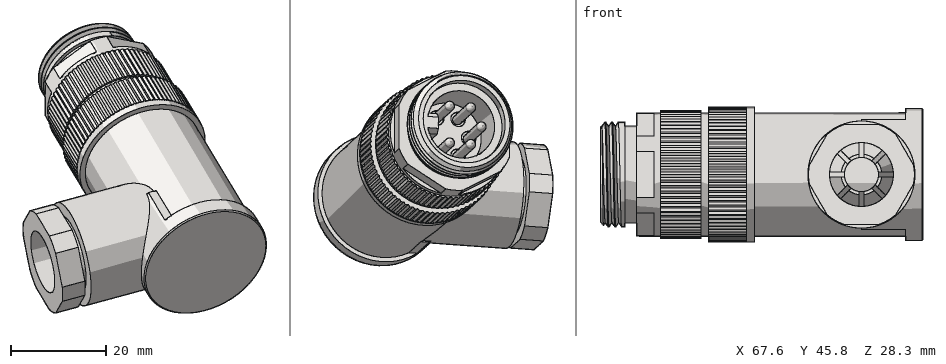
import cadquery as cq
import math


total_length = 67.6
total_width = 45.75
rear_knurl_diameter = 28.3
rear_knurl_radius = rear_knurl_diameter / 2

thread_end = 5.15
collar_start = 7.6
flats_end = 11.2
front_knurl_start = 12.6
front_knurl_end = 21.1
rear_knurl_start = 22.65
rear_knurl_end = 30.55
coupling_end = 32.3
cap_start = 63.95

thread_diameter = 22.0
thread_radius = thread_diameter / 2
tip_radius = 9.95
tip_chamfer_length = 0.95
neck_radius = 10.2
thread_pitch = 1.4
thread_depth = 0.9
groove_clearance = 0.15
groove_gap = 0.03
groove_width = thread_pitch - groove_gap
groove_lead_in = 1.0
thread_runout = 4.45
runout_angle = 22.0

barrel_diameter = 25.9
barrel_radius = barrel_diameter / 2
flat_distance = 12.0
front_knurl_diameter = 26.85
front_knurl_radius = front_knurl_diameter / 2
front_knurl_teeth = 72
rear_knurl_teeth = 80
knurl_depth = 0.305

mouth_radius = 8.9
mouth_depth = 2.4
socket_radius = 7.3
socket_depth = 12.85
key_width = 4.45
key_inner_offset = 4.95
key_chamfer = 1.0
pin_tip = 2.1
pin_radius = 1.0
pin_nose_fillet = 0.95 * pin_radius
pin_recess_radius = 1.55
pin_recess_depth = 0.7
pin_circle_radius = 4.6
pin_angles = [60, 120, 180, 240, 300]
pin_positions = [
    (pin_circle_radius * math.cos(math.radians(angle)), pin_circle_radius * math.sin(math.radians(angle)))
    for angle in pin_angles
]

cap_radius = 13.85
cap_chamfer = 0.3
arm_x = 54.7
arm_radius = 11.2
arm_end = 25.2
ledge_height = 11.5

gland_neck_radius = 8.45
nut_start = 26.5
nut_end = total_width - rear_knurl_radius
nut_width_across_flats = 20.9
nut_flat_distance = nut_width_across_flats / 2
nut_corner_radius = 11.1
bore_radius = 6.7

clamp_tip = 20.3
clamp_tip_radius = 4.25
clamp_cone_length = 3.6
clamp_base = clamp_tip - clamp_cone_length
clamp_hole_radius = 3.6
clamp_slot_count = 8
clamp_slot_width = 1.0
clamp_slot_depth = 0.95


def disc(start, end, radius):
    """Cylinder on the connector axis between two X stations."""
    return cq.Workplane("YZ", origin=(start, 0, 0)).circle(radius).extrude(end - start)


def arm_disc(start, end, radius):
    """Cylinder on the arm axis between two distances from the connector axis."""
    return cq.Workplane("XZ", origin=(arm_x, -start, 0)).circle(radius).extrude(end - start)


def knurl(start, end, radius, teeth):
    """Band with sharp V teeth parallel to the connector axis."""
    points = []
    for i in range(2 * teeth):
        angle = math.pi * i / teeth
        r = radius if i % 2 == 0 else radius - knurl_depth
        points.append((r * math.cos(angle), r * math.sin(angle)))
    return cq.Workplane("YZ", origin=(start, 0, 0)).polyline(points).close().extrude(end - start)


def hexagon(plane, origin, flat_distance, length):
    """Hexagonal prism with a pair of corners on the local X axis."""
    corner_diameter = 2 * flat_distance / math.cos(math.pi / 6)
    return cq.Workplane(plane, origin=origin).polygon(6, corner_diameter).extrude(length)


def thread_groove():
    """Right-handed V groove that enters at the tip and ends at the runout angle."""
    length = thread_runout + groove_lead_in
    root_radius = thread_radius - thread_depth
    outer_radius = thread_radius + groove_clearance
    helix = cq.Wire.makeHelix(thread_pitch, length, root_radius)
    profile = cq.Workplane("XZ").polyline([
        (root_radius, 0),
        (outer_radius, groove_width / 2),
        (outer_radius, -groove_width / 2),
    ]).close()
    groove = profile.sweep(cq.Workplane(obj=helix), isFrenet=True)
    end_angle = 360 * length / thread_pitch
    groove = groove.rotate((0, 0, 0), (0, 0, 1), -end_angle)
    groove = groove.rotate((0, 0, 0), (0, 1, 0), 90)
    groove = groove.rotate((0, 0, 0), (1, 0, 0), 180 - runout_angle)
    return groove.translate((-groove_lead_in, 0, 0))


def threaded_nose():
    profile = [
        (0, 0),
        (0, tip_radius),
        (tip_chamfer_length, thread_radius),
        (thread_end, thread_radius),
        (thread_end, neck_radius),
        (collar_start, neck_radius),
        (collar_start, 0),
    ]
    nose = cq.Workplane("XY").polyline(profile).close().revolve(360, (0, 0, 0), (1, 0, 0))
    return nose.cut(thread_groove())


def hex_collar():
    flats_length = flats_end - collar_start
    flats = hexagon("YZ", (collar_start, 0, 0), flat_distance, flats_length)
    flats = flats.rotate((0, 0, 0), (1, 0, 0), 360 / 12)
    return disc(collar_start, flats_end, barrel_radius).intersect(flats)


def key():
    """Chamfered rib on the +Y side of the socket wall, flush with the mouth floor."""
    reach = (mouth_radius + socket_radius) / 2 - key_inner_offset
    length = socket_depth - mouth_depth
    rib = cq.Workplane("XY").box(length, reach, key_width, centered=(False, False, True))
    rib = rib.translate((mouth_depth, key_inner_offset, 0))
    return rib.faces("<X").edges("|Y").chamfer(key_chamfer)


def contact_pins():
    """Round-nosed pins that stand in the recesses of the socket floor."""
    length = socket_depth + pin_recess_depth - pin_tip
    pins = cq.Workplane("YZ", origin=(pin_tip, 0, 0)).pushPoints(pin_positions)
    pins = pins.circle(pin_radius).extrude(length)
    return pins.faces("<X").edges().fillet(pin_nose_fillet)


def pin_recesses():
    floor = cq.Workplane("YZ", origin=(socket_depth, 0, 0)).pushPoints(pin_positions)
    return floor.circle(pin_recess_radius).extrude(pin_recess_depth)


def make_coupling():
    """Plug half: threaded nose, hex collar, knurled grips, socket, key and pins."""
    body = threaded_nose().union(hex_collar())
    body = body.union(disc(flats_end, rear_knurl_start, barrel_radius))
    body = body.union(knurl(front_knurl_start, front_knurl_end, front_knurl_radius, front_knurl_teeth))
    body = body.union(knurl(rear_knurl_start, rear_knurl_end, rear_knurl_radius, rear_knurl_teeth))
    body = body.union(disc(rear_knurl_end, coupling_end, rear_knurl_radius))
    body = body.cut(disc(0, mouth_depth, mouth_radius))
    body = body.cut(disc(mouth_depth, socket_depth, socket_radius))
    body = body.cut(pin_recesses())
    return body.union(key()).union(contact_pins())


def gland_nut():
    length = nut_end - nut_start
    nut = hexagon("XZ", (arm_x, -nut_start, 0), nut_flat_distance, length)
    return nut.intersect(arm_disc(nut_start, nut_end, nut_corner_radius))


def bore_cone(base, base_radius, tip, tip_radius):
    """Cone on the arm axis between two distances from the connector axis."""
    direction = cq.Vector(0, -1, 0)
    solid = cq.Solid.makeCone(base_radius, tip_radius, tip - base, cq.Vector(arm_x, -base, 0), direction)
    return cq.Workplane(obj=solid)


def clamp_slots_cutter():
    """Radial bars above a cone that forms the sloping slot floors."""
    floor_base = clamp_base - clamp_slot_depth
    bars = cq.Workplane("XY")
    for i in range(clamp_slot_count // 2):
        bar = cq.Workplane("XY").box(2 * bore_radius, clamp_tip - floor_base, clamp_slot_width)
        bar = bar.rotate((0, 0, 0), (0, 1, 0), i * 360 / clamp_slot_count)
        bars = bars.union(bar.translate((arm_x, -(clamp_tip + floor_base) / 2, 0)))
    bars = bars.intersect(arm_disc(floor_base, clamp_tip, bore_radius))
    return bars.cut(bore_cone(floor_base, bore_radius, clamp_tip, clamp_hole_radius))


def clamp_hole():
    """Hole through the clamp that stops at the round wall of the elbow barrel."""
    return arm_disc(0, clamp_tip, clamp_hole_radius).cut(disc(coupling_end, total_length, barrel_radius))


def cap_saddle():
    """Stretch of cap-sized wall beside the arm, bounded above and below by flat ledges."""
    length = cap_start - arm_x
    slab = cq.Workplane("XY").box(length, cap_radius, 2 * ledge_height, centered=(False, False, True))
    return disc(arm_x, cap_start, cap_radius).intersect(slab.translate((arm_x, -cap_radius, 0)))


def make_elbow():
    """Housing half: elbow barrel, end cap, cable arm, gland nut and clamp."""
    barrel = disc(coupling_end, cap_start, barrel_radius)
    cap = disc(cap_start, total_length, cap_radius).faces(">X").edges().chamfer(cap_chamfer)
    body = barrel.union(cap).union(cap_saddle())
    body = body.union(arm_disc(0, arm_end, arm_radius))
    body = body.union(arm_disc(arm_end, nut_start, gland_neck_radius))
    body = body.union(gland_nut())
    body = body.cut(arm_disc(clamp_base, nut_end, bore_radius))
    body = body.union(bore_cone(clamp_base, bore_radius, clamp_tip, clamp_tip_radius))
    return body.cut(clamp_slots_cutter()).cut(clamp_hole())


coupling = make_coupling()
elbow = make_elbow()
result = cq.Compound.makeCompound([coupling.val(), elbow.val()])